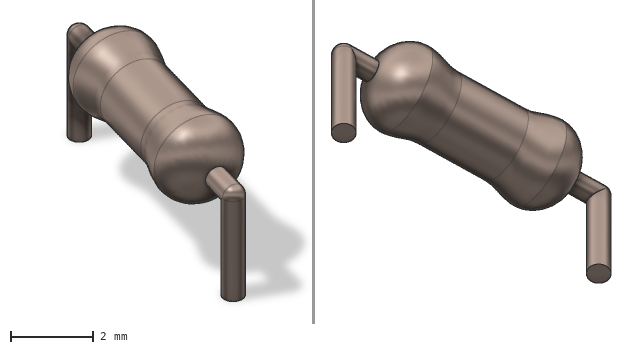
import cadquery as cq

overall_length = 8.22
lead_diameter = 0.6
lead_drop = 3.0
barrel_diameter = 2.0
barrel_length = 2.0
bulb_diameter = 2.4
bulb_spacing = 4.0
cap_length = 1.0

lead_radius = lead_diameter / 2
barrel_radius = barrel_diameter / 2
bulb_radius = bulb_diameter / 2
lead_x = overall_length / 2 - lead_radius
barrel_end_x = barrel_length / 2
bulb_x = bulb_spacing / 2


def make_bulb():
    """Flared neck and elliptical cap at the +X end, revolved about X."""
    profile = (
        cq.Workplane("XY")
        .moveTo(barrel_end_x, 0)
        .lineTo(barrel_end_x, barrel_radius)
        .spline([(bulb_x, bulb_radius)], tangents=[(1, 0), (1, 0)], includeCurrent=True)
        .ellipseArc(cap_length, bulb_radius, 0, 90, sense=-1, startAtCurrent=True)
        .close()
    )
    return profile.revolve(360, (0, 0, 0), (1, 0, 0))


def make_body():
    """Plain barrel with a matching bulb at each end."""
    barrel = cq.Workplane("YZ", origin=(-barrel_end_x, 0, 0)).circle(barrel_radius).extrude(barrel_length)
    bulb = make_bulb()
    return barrel.union(bulb).union(bulb.mirror("YZ"))


def make_leads():
    """One straight wire through the body, with a ball at each bend and a leg below it."""
    leads = cq.Workplane("YZ", origin=(-lead_x, 0, 0)).circle(lead_radius).extrude(2 * lead_x)
    for x in (-lead_x, lead_x):
        bend = cq.Workplane("XY").sphere(lead_radius).translate((x, 0, 0))
        leg = cq.Workplane("XY").center(x, 0).circle(lead_radius).extrude(-lead_drop)
        leads = leads.union(leg).union(bend)
    return leads


result = make_body().union(make_leads())